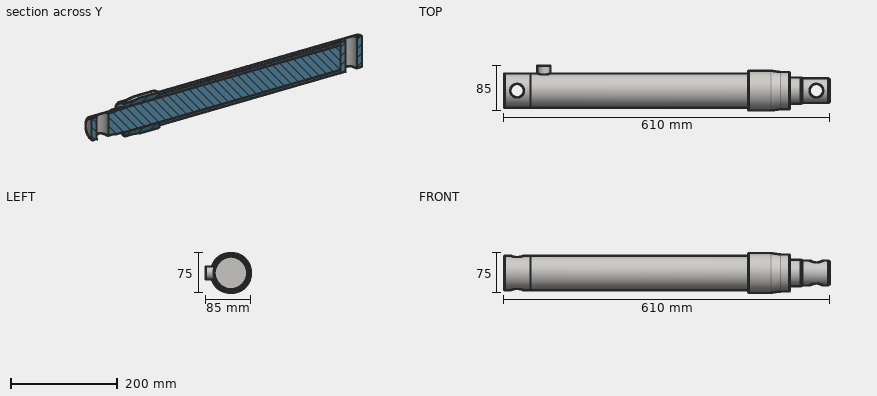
import cadquery as cq


total_length = 610.0
cap_length = 50.0
gland_start = 457.0
gland_length = 79.0

tube_diameter = 65.0
cap_chamfer = 2.0
pin_hole_diameter = 25.0
pin_hole_inset = 25.0

gland_diameter = 75.0
gland_nose_diameter = 70.0
gland_collar_length = 43.0
gland_cone_length = 18.0
gland_back_chamfer = 2.0
gland_front_chamfer_length = 2.0
gland_front_chamfer_depth = 2.5

rod_diameter = 50.0
rod_eye_diameter = 47.0
rod_eye_length = 51.0
rod_shoulder_length = 4.0
rod_end_chamfer = 3.0

port_x = 75.0
port_diameter = 25.0
port_face_y = 47.5
port_chamfer = 1.0

gland_end = gland_start + gland_length


def x_cylinder(diameter, start, end):
    """Solid cylinder on the X axis from start to end."""
    return cq.Workplane("YZ", origin=(start, 0, 0)).circle(diameter / 2).extrude(end - start)


def revolve_about_x(profile_points):
    """Solid of revolution about X from (x, radius) points."""
    return cq.Workplane("XY").polyline(profile_points).close().revolve(360, (0, 0, 0), (1, 0, 0))


def pin_hole(x):
    """Cutter for a pin hole along Z through the whole cylinder."""
    return (
        cq.Workplane("XY", origin=(x, 0, 0))
        .circle(pin_hole_diameter / 2)
        .extrude(gland_diameter / 2, both=True)
    )


def make_base_cap():
    cap = x_cylinder(tube_diameter, 0, cap_length).faces("<X").chamfer(cap_chamfer)
    return cap.cut(pin_hole(pin_hole_inset))


def make_tube():
    """Barrel from the cap to the gland, bored to guide the rod."""
    outside = x_cylinder(tube_diameter, cap_length, gland_start)
    return outside.cut(x_cylinder(rod_diameter, cap_length, gland_start))


def make_gland():
    collar_radius = gland_diameter / 2
    nose_radius = gland_nose_diameter / 2
    cone_start = gland_start + gland_collar_length
    cone_end = cone_start + gland_cone_length
    bore_radius = rod_diameter / 2
    return revolve_about_x([
        (gland_start, bore_radius),
        (gland_start, collar_radius - gland_back_chamfer),
        (gland_start + gland_back_chamfer, collar_radius),
        (cone_start, collar_radius),
        (cone_end, nose_radius),
        (gland_end - gland_front_chamfer_length, nose_radius),
        (gland_end, nose_radius - gland_front_chamfer_depth),
        (gland_end, bore_radius),
    ])


def make_rod():
    """Rod from the cap face out through the gland to its eye end."""
    rod_radius = rod_diameter / 2
    eye_radius = rod_eye_diameter / 2
    eye_start = total_length - rod_eye_length
    rod = revolve_about_x([
        (cap_length, 0),
        (cap_length, rod_radius),
        (eye_start - rod_shoulder_length, rod_radius),
        (eye_start, eye_radius),
        (total_length - rod_end_chamfer, eye_radius),
        (total_length, eye_radius - rod_end_chamfer),
        (total_length, 0),
    ])
    return rod.cut(pin_hole(total_length - pin_hole_inset))


def make_port_boss():
    """Round boss whose foot follows the outside of the tube."""
    boss = (
        cq.Workplane("XZ", origin=(port_x, port_face_y, 0))
        .circle(port_diameter / 2)
        .extrude(port_face_y)
        .faces(">Y")
        .chamfer(port_chamfer)
    )
    return boss.cut(x_cylinder(tube_diameter, cap_length, gland_start))


base_cap = make_base_cap()
tube = make_tube()
gland = make_gland()
rod = make_rod()
port_boss = make_port_boss()

result = cq.Compound.makeCompound([
    base_cap.val(),
    tube.val(),
    gland.val(),
    rod.val(),
    port_boss.val(),
])